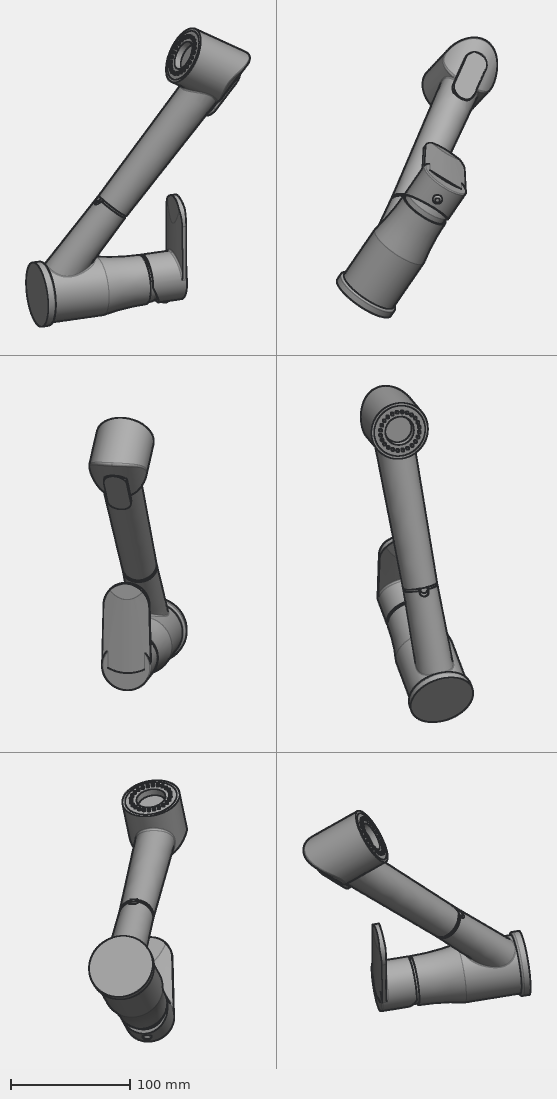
import cadquery as cq
import math

FLANGE_D = 54.7
FLANGE_R = FLANGE_D / 2
FLANGE_T = 7.5
FLANGE_FILLET = 1.7
BARREL_R = 25.0
BARREL_END_Y = 55.0
TAPER_END_Y = 94.0
TAPER_MID_R = 22.0
TAPER_END_R = 21.0
NECK_R = 19.5
NECK_STEP_Y = 99.0
NECK_END_Y = 107.5
NECK_END_R = 17.0

ARM_ANGLE = 50.0
JOINT_Y = 67.5
JOINT_Z = 71.2
JOINT_R = 14.5
JOINT_GAP = 2.0
JOINT_GROOVE_DEPTH = 0.7
TUBE_ROOT_R = 15.8
TUBE_LENGTH = 79.1
ROOT_FILLET = 1.0
KEY_W = 6.0
KEY_L = 4.5
NOTCH_W = 8.0
NOTCH_L = 7.5
KEY_DEPTH = 2.5
KEY_PROUD = 0.5

ARM_LENGTH = 128.5
ARM_END_R = 16.5
HEAD_R = 24.5
HEAD_TILT = 31.5
FACE_Y = 130.5
FACE_Z = 199.0
HEAD_LENGTH = 74.2
BACK_R = 29.0
BACK_EDGE_FILLET = 2.0
ARM_FILLET = 1.5

FACE_R = 22.0
FACE_T = 8.5
OUTLET_R = 12.4
OUTLET_FLOOR_R = 11.6
OUTLET_DEPTH = 6.0
NOZZLE_COUNT = 24
NOZZLE_RING_R = 16.8
NOZZLE_R = 1.2
NOZZLE_H = 1.7

BUTTON_L = 47.5
BUTTON_W = 19.8
BUTTON_CENTRE = 131.0
BUTTON_PROUD = 1.0
BUTTON_DEPTH = 3.5

LEVER_R = TAPER_END_R
LEVER_START_Y = 96.2
LEVER_END_Y = 126.6
LEVER_EDGE_FILLET = 1.0
SKIRT_CUT_Y = 106.0
PADDLE_TIP_Z = 71.5
PADDLE_TIP_R = 19.5
PADDLE_ROOT_W = 20.8
PADDLE_ROOT_Z = 1.2
PADDLE_BOTTOM_Z = -5.7
PADDLE_INNER_Y = 120.5
PADDLE_INNER_EDGE_Y = 122.7
PADDLE_OUTER_Y = 127.5
PADDLE_OUTER_EDGE_Y = 126.0
TIP_INNER_TAPER_Z = 48.2
TIP_OUTER_TAPER_Z = 58.4
TIP_INNER_Y = 122.0
TIP_OUTER_Y = 126.1
PADDLE_FILLET = 1.5
STUD_Y = 114.0
STUD_R = 4.0
STUD_TIP_R = 2.0
STUD_H = 2.2

ARM_DIR = cq.Vector(0, math.cos(math.radians(ARM_ANGLE)), math.sin(math.radians(ARM_ANGLE)))
ARM_UP = cq.Vector(0, -ARM_DIR.z, ARM_DIR.y)
JOINT = cq.Vector(0, JOINT_Y, JOINT_Z)
HEAD_DIR = cq.Vector(0, -math.cos(math.radians(HEAD_TILT)), math.sin(math.radians(HEAD_TILT)))
FACE_CENTRE = cq.Vector(0, FACE_Y, FACE_Z)
Y_AXIS = cq.Vector(0, 1, 0)


def cone(radius, end_radius, height, base, direction):
    """Truncated cone (or cylinder when both radii agree) from base along direction."""
    if radius == end_radius:
        return cq.Workplane(cq.Solid.makeCylinder(radius, height, base, direction))
    return cq.Workplane(cq.Solid.makeCone(radius, end_radius, height, base, direction))


def arm_section(distance):
    """Workplane across the arm; its local Y points to the upper side of the arm."""
    return cq.Workplane(cq.Plane(JOINT + ARM_DIR * distance, cq.Vector(-1, 0, 0), ARM_DIR))


def revolve_about_y(profile):
    """Revolve an outline of (radius, Y) points about the barrel axis."""
    return profile.close().revolve(360, (0, 0, 0), (0, 1, 0))


def neck():
    """Stepped neck in front of the barrel that carries the lever."""
    straight = cone(NECK_R, NECK_R, NECK_STEP_Y - TAPER_END_Y, Y_AXIS * TAPER_END_Y, Y_AXIS)
    taper = cone(NECK_R, NECK_END_R, NECK_END_Y - NECK_STEP_Y, Y_AXIS * NECK_STEP_Y, Y_AXIS)
    return straight.union(taper)


def joint_tongue(width, length):
    """Round-ended block at the top of the joint, reaching from the joint down the tube."""
    top = JOINT_R + KEY_PROUD
    plane = cq.Plane(JOINT + ARM_UP * (top - KEY_DEPTH), cq.Vector(1, 0, 0), ARM_UP)
    half_w = width / 2
    return (
        cq.Workplane(plane)
        .moveTo(-half_w, 0)
        .lineTo(-half_w, half_w - length)
        .threePointArc((0, -length), (half_w, half_w - length))
        .lineTo(half_w, 0)
        .close()
        .extrude(KEY_DEPTH)
    )


def faucet_body():
    barrel = revolve_about_y(
        cq.Workplane("XY")
        .moveTo(0, FLANGE_T)
        .lineTo(BARREL_R, FLANGE_T)
        .lineTo(BARREL_R, BARREL_END_Y)
        .threePointArc((TAPER_MID_R, (BARREL_END_Y + TAPER_END_Y) / 2), (TAPER_END_R, TAPER_END_Y))
        .lineTo(0, TAPER_END_Y)
    )
    tube_full = TUBE_LENGTH - JOINT_GAP
    tube = cone(JOINT_R, TUBE_ROOT_R, tube_full, JOINT - ARM_DIR * JOINT_GAP, ARM_DIR * -1)
    spigot_r = JOINT_R - JOINT_GROOVE_DEPTH
    spigot = cone(spigot_r, spigot_r, JOINT_GAP, JOINT - ARM_DIR * JOINT_GAP, ARM_DIR)
    joined = barrel.union(tube)
    saddle_box = cq.selectors.BoxSelector(
        (-BARREL_R, FLANGE_T, BARREL_R / 2), (BARREL_R, BARREL_END_Y, BARREL_R + ROOT_FILLET)
    )
    blended = joined.edges("%BSPLINE").edges(saddle_box).fillet(ROOT_FILLET)
    flange = cone(FLANGE_R, FLANGE_R, FLANGE_T, cq.Vector(0, 0, 0), Y_AXIS)
    flange = flange.faces(">Y").edges().fillet(FLANGE_FILLET)
    return blended.union(flange).union(spigot).union(neck()).cut(joint_tongue(NOTCH_W, NOTCH_L))


def lever_barrel():
    """Cap over the neck; its lower rear edge is cut away at a slant."""
    length = LEVER_END_Y - LEVER_START_Y
    barrel = cone(LEVER_R, LEVER_R, length, Y_AXIS * LEVER_START_Y, Y_AXIS)
    barrel = barrel.faces(">Y").edges().fillet(LEVER_EDGE_FILLET)
    slant = (
        cq.Workplane("YZ")
        .moveTo(LEVER_START_Y, 0)
        .lineTo(SKIRT_CUT_Y, -LEVER_R)
        .lineTo(LEVER_START_Y, -LEVER_R)
        .close()
        .extrude(LEVER_R, both=True)
    )
    return barrel.cut(slant)


def paddle():
    """Upright handle plate: round-topped outline, crowned faces and a thinned tip."""
    tip_centre_z = PADDLE_TIP_Z - PADDLE_TIP_R
    outline = (
        cq.Workplane("XZ")
        .moveTo(-PADDLE_ROOT_W, PADDLE_ROOT_Z)
        .lineTo(-PADDLE_TIP_R, tip_centre_z)
        .threePointArc((0, PADDLE_TIP_Z), (PADDLE_TIP_R, tip_centre_z))
        .lineTo(PADDLE_ROOT_W, PADDLE_ROOT_Z)
        .threePointArc((0, PADDLE_BOTTOM_Z), (-PADDLE_ROOT_W, PADDLE_ROOT_Z))
        .close()
        .extrude(-PADDLE_OUTER_Y)
    )
    crown = (
        cq.Workplane("XY", origin=(0, 0, PADDLE_BOTTOM_Z))
        .moveTo(-PADDLE_ROOT_W, PADDLE_INNER_EDGE_Y)
        .threePointArc((0, PADDLE_INNER_Y), (PADDLE_ROOT_W, PADDLE_INNER_EDGE_Y))
        .lineTo(PADDLE_ROOT_W, PADDLE_OUTER_EDGE_Y)
        .threePointArc((0, PADDLE_OUTER_Y), (-PADDLE_ROOT_W, PADDLE_OUTER_EDGE_Y))
        .close()
        .extrude(PADDLE_TIP_Z - PADDLE_BOTTOM_Z)
    )
    tip_taper = (
        cq.Workplane("YZ")
        .moveTo(PADDLE_INNER_Y, PADDLE_BOTTOM_Z)
        .lineTo(PADDLE_INNER_Y, TIP_INNER_TAPER_Z)
        .lineTo(TIP_INNER_Y, PADDLE_TIP_Z)
        .lineTo(TIP_OUTER_Y, PADDLE_TIP_Z)
        .lineTo(PADDLE_OUTER_Y, TIP_OUTER_TAPER_Z)
        .lineTo(PADDLE_OUTER_Y, PADDLE_BOTTOM_Z)
        .close()
        .extrude(PADDLE_ROOT_W, both=True)
    )
    return outline.intersect(crown).intersect(tip_taper)


def lever():
    stud_root = cq.Vector(0, STUD_Y, -LEVER_R + STUD_R / 2)
    root = cone(STUD_R, STUD_R, STUD_R / 2, stud_root, cq.Vector(0, 0, -1))
    tip = cone(STUD_R, STUD_TIP_R, STUD_H, cq.Vector(0, STUD_Y, -LEVER_R), cq.Vector(0, 0, -1))
    handle = lever_barrel().union(paddle())
    inner_seam = cq.selectors.BoxSelector(
        (-LEVER_R, PADDLE_INNER_Y, PADDLE_ROOT_Z),
        (LEVER_R, PADDLE_INNER_EDGE_Y, LEVER_R),
    )
    handle = handle.edges("%BSPLINE").edges(inner_seam).fillet(PADDLE_FILLET)
    return handle.union(root).union(tip).cut(neck())


def toggle_button():
    """Slot-shaped button set into the back of the head, long side along the arm."""
    floor = JOINT + ARM_DIR * BUTTON_CENTRE - ARM_UP * (ARM_END_R + BUTTON_PROUD - BUTTON_DEPTH)
    plane = cq.Plane(floor, ARM_DIR, ARM_UP * -1)
    return cq.Workplane(plane).slot2D(BUTTON_L, BUTTON_W).extrude(BUTTON_DEPTH)


def face_insert():
    """Nozzle plate without its nozzles, flush with the end of the head."""
    return cone(FACE_R, FACE_R, FACE_T, FACE_CENTRE, HEAD_DIR * -1)


def head_back():
    """Trough profile swept parallel to the arm, level with its underside, that rounds the head."""
    wall_start = BACK_R - ARM_END_R
    return (
        arm_section(0)
        .moveTo(-BACK_R, wall_start)
        .threePointArc((0, -ARM_END_R), (BACK_R, wall_start))
        .lineTo(BACK_R, HEAD_LENGTH)
        .lineTo(-BACK_R, HEAD_LENGTH)
        .close()
        .extrude(ARM_LENGTH + HEAD_LENGTH)
    )


def spray():
    head = cone(HEAD_R, HEAD_R, HEAD_LENGTH, FACE_CENTRE, HEAD_DIR * -1)
    arm = cone(JOINT_R, ARM_END_R, ARM_LENGTH, JOINT, ARM_DIR)
    blended = head.union(arm).edges("%BSPLINE").fillet(ARM_FILLET)
    trimmed = blended.intersect(head_back())
    rim_box = cq.selectors.BoxSelector(
        (-HEAD_R, JOINT_Y + ARM_DIR.y * ARM_LENGTH, JOINT_Z),
        (HEAD_R, JOINT_Y + ARM_DIR.y * (ARM_LENGTH + HEAD_LENGTH), FACE_Z),
    )
    rounded = trimmed.edges("%BSPLINE").edges(rim_box).fillet(BACK_EDGE_FILLET)
    solid = rounded.union(joint_tongue(KEY_W, KEY_L))
    return solid.cut(face_insert()).cut(toggle_button())


def spray_face():
    outlet = cone(OUTLET_R, OUTLET_FLOOR_R, OUTLET_DEPTH, FACE_CENTRE, HEAD_DIR * -1)
    nozzles = (
        cq.Workplane(cq.Plane(FACE_CENTRE, cq.Vector(1, 0, 0), HEAD_DIR))
        .polarArray(NOZZLE_RING_R, 90, 360, NOZZLE_COUNT)
        .circle(NOZZLE_R)
        .extrude(NOZZLE_H)
    )
    return face_insert().cut(outlet).union(nozzles)


bodies = [faucet_body(), lever(), spray(), spray_face(), toggle_button()]
result = cq.Compound.makeCompound([body.solids().val() for body in bodies])